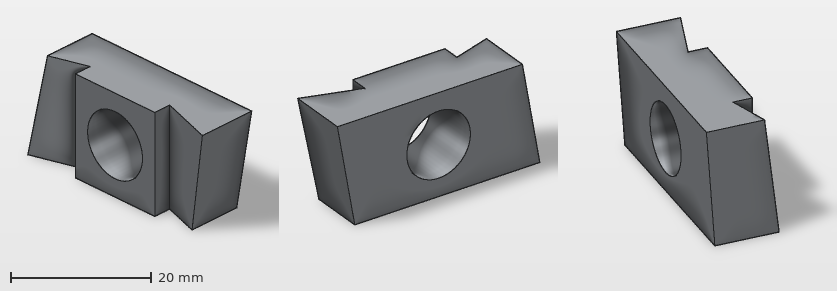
import cadquery as cq

length = 35.0
depth = 10.0
height = 17.0

pad_width = 15.92
notch_depth = 3.0
bore_diameter = 11.0

end_lean = 3.0

half_length = length / 2
half_pad = pad_width / 2
half_height = height / 2


def notched_bar():
    """Bar with a V-shaped notch on each side of the front pad, extruded along Z."""
    profile = [
        (-half_length, depth),
        (-half_length, 0),
        (-half_pad, notch_depth),
        (-half_pad, 0),
        (half_pad, 0),
        (half_pad, notch_depth),
        (half_length, 0),
        (half_length, depth),
    ]
    return cq.Workplane("XY").workplane(offset=-half_height).polyline(profile).close().extrude(height)


def leaning_envelope():
    """Parallelogram prism that gives the bar its two slanted ends."""
    outline = [
        (-half_length, -half_height),
        (half_length - end_lean, -half_height),
        (half_length, half_height),
        (-half_length + end_lean, half_height),
    ]
    return cq.Workplane("XZ").polyline(outline).close().extrude(-depth)


def bore():
    """Through hole along Y at the centre of the pad."""
    return cq.Workplane("XZ").circle(bore_diameter / 2).extrude(-depth)


result = notched_bar().intersect(leaning_envelope()).cut(bore())